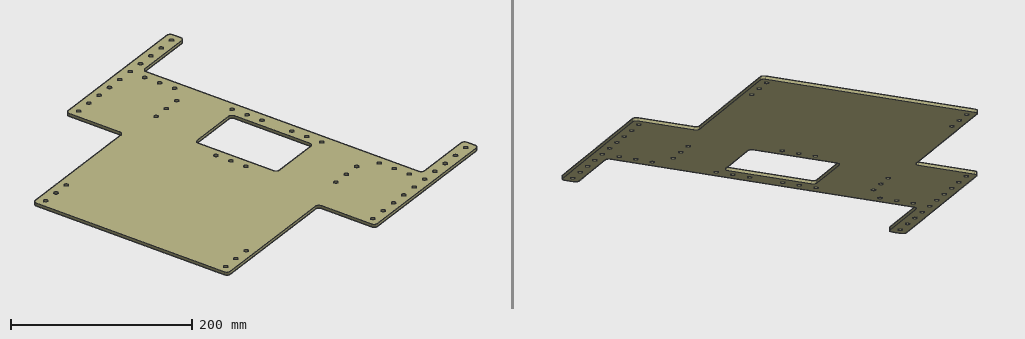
import cadquery as cq

WIDTH = 415.0
LENGTH = 375.0
THICKNESS = 4.0

WING_LENGTH = 200.5
BODY_WIDTH = 261.5
CORNER_RADIUS = 4.5

SIDE_HOLE_COUNT = 10
GROUP_COUNT = 3
HOLE_DIAMETER = 5.0
HOLE_PITCH = WING_LENGTH / SIDE_HOLE_COUNT
EDGE_DISTANCE = HOLE_PITCH / 2
REAR_ROW_SETBACK = 10.8
BODY_REAR_HOLE_SETBACK = 30.7

HOLES_IN_ARM = 4
ARM_WIDTH = HOLE_PITCH
ARM_LENGTH = HOLES_IN_ARM * HOLE_PITCH

WINDOW_WIDTH = 110.0
WINDOW_LENGTH = 69.7
WINDOW_MARGIN = 20.5

half_width = WIDTH / 2
half_body = BODY_WIDTH / 2
arm_inner_x = half_width - ARM_WIDTH
rear_edge_y = LENGTH - ARM_LENGTH
wing_front_y = LENGTH - WING_LENGTH
window_rear_y = rear_edge_y - WINDOW_MARGIN
window_front_y = window_rear_y - WINDOW_LENGTH


def line_of_holes(start, step, count):
    """Points starting at start, each moved on by step."""
    return [(start[0] + i * step[0], start[1] + i * step[1]) for i in range(count)]


def mirrored(points):
    """The points together with their mirror images across the YZ plane."""
    return points + [(-x, y) for x, y in points]


def make_plate():
    right_side = [
        (half_body, 0),
        (half_body, wing_front_y),
        (half_width, wing_front_y),
        (half_width, LENGTH),
        (arm_inner_x, LENGTH),
        (arm_inner_x, rear_edge_y),
    ]
    left_side = [(-x, y) for x, y in reversed(right_side)]
    plate = cq.Workplane("XY").polyline(right_side + left_side).close().extrude(THICKNESS)
    return plate.edges("|Z").fillet(CORNER_RADIUS)


def make_window():
    window = (
        cq.Workplane("XY")
        .center(0, (window_rear_y + window_front_y) / 2)
        .rect(WINDOW_WIDTH, WINDOW_LENGTH)
        .extrude(THICKNESS)
    )
    return window.edges("|Z").fillet(CORNER_RADIUS)


def hole_points():
    inward = (-HOLE_PITCH, 0)
    forward = (0, -HOLE_PITCH)
    side_x = half_width - EDGE_DISTANCE
    body_x = half_body - EDGE_DISTANCE
    rear_row_y = rear_edge_y - REAR_ROW_SETBACK
    body_rear_y = rear_edge_y - BODY_REAR_HOLE_SETBACK
    body_front_y = EDGE_DISTANCE + (GROUP_COUNT - 1) * HOLE_PITCH

    right_holes = (
        line_of_holes((side_x, LENGTH - EDGE_DISTANCE), forward, SIDE_HOLE_COUNT)
        + line_of_holes((side_x - HOLE_PITCH, rear_row_y), inward, GROUP_COUNT)
        + line_of_holes((GROUP_COUNT * HOLE_PITCH, rear_row_y), inward, GROUP_COUNT)
        + line_of_holes((body_x, body_rear_y), forward, GROUP_COUNT)
        + line_of_holes((body_x, body_front_y), forward, GROUP_COUNT)
    )
    window_holes = line_of_holes((HOLE_PITCH, window_front_y - EDGE_DISTANCE), inward, GROUP_COUNT)
    return mirrored(right_holes) + window_holes


def make_holes():
    return cq.Workplane("XY").pushPoints(hole_points()).circle(HOLE_DIAMETER / 2).extrude(THICKNESS)


result = make_plate().cut(make_window()).cut(make_holes())